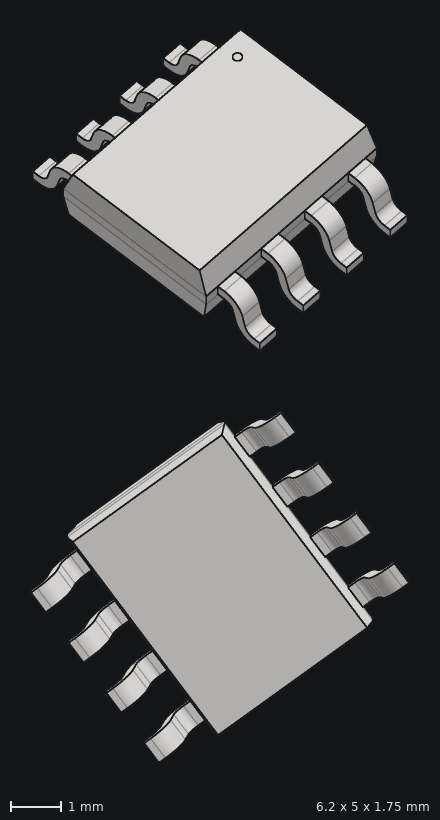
import cadquery as cq
import math

SPAN = 6.2
BODY_LENGTH = 5.0
TOTAL_HEIGHT = 1.75

BODY_WIDTH = 3.905
TOP_INSET_X = 0.225
BOTTOM_INSET_X = 0.105
END_INSET_Y = 0.05

LEADS_PER_SIDE = 4
LEAD_PITCH = 1.27
LEAD_WIDTH = 0.5
LEAD_THICKNESS = 0.265
LEAD_TOP_Z = 1.12
FOOT_FLAT = 0.16
INNER_BEND_RADIUS = 0.25
BEND_ANGLE = math.radians(75)

MARK_DIAMETER = 0.2
MARK_DEPTH = 0.03
MARK_X = -1.3
FIRST_LEAD_Y = (LEADS_PER_SIDE - 1) / 2 * LEAD_PITCH

BAND_BOTTOM_Z = LEAD_TOP_Z - LEAD_THICKNESS
BODY_BOTTOM_Z = LEAD_THICKNESS

OUTER_BEND_RADIUS = INNER_BEND_RADIUS + LEAD_THICKNESS


def tapered_half(band_z, face_z, inset_x):
    """Frustum from the full band outline at band_z to a smaller face at face_z."""
    return (
        cq.Workplane("XY", origin=(0, 0, band_z))
        .rect(BODY_WIDTH, BODY_LENGTH)
        .workplane(offset=face_z - band_z)
        .rect(BODY_WIDTH - 2 * inset_x, BODY_LENGTH - 2 * END_INSET_Y)
        .loft(ruled=True)
    )


def make_pin_mark():
    """Thin disc that fills the recess in the top face of the housing."""
    return (
        cq.Workplane("XY", origin=(MARK_X, FIRST_LEAD_Y, TOTAL_HEIGHT - MARK_DEPTH))
        .circle(MARK_DIAMETER / 2)
        .extrude(MARK_DEPTH)
    )


def make_housing():
    """Band with a tapered half above and below, recessed for the pin 1 mark."""
    band = (
        cq.Workplane("XY", origin=(0, 0, BAND_BOTTOM_Z))
        .rect(BODY_WIDTH, BODY_LENGTH)
        .extrude(LEAD_THICKNESS)
    )
    upper_half = tapered_half(LEAD_TOP_Z, TOTAL_HEIGHT, TOP_INSET_X)
    lower_half = tapered_half(BAND_BOTTOM_Z, BODY_BOTTOM_Z, BOTTOM_INSET_X)
    return band.union(upper_half).union(lower_half).cut(make_pin_mark())


def make_lead():
    """Lead on the +X side at Y = 0, butting against the housing band."""
    tip_x = SPAN / 2
    root_x = BODY_WIDTH / 2

    lower_x = tip_x - FOOT_FLAT
    lower_z = LEAD_THICKNESS + INNER_BEND_RADIUS

    upper_z = BAND_BOTTOM_Z - INNER_BEND_RADIUS
    radius_sum = INNER_BEND_RADIUS + OUTER_BEND_RADIUS
    leg_rise = upper_z - lower_z + radius_sum * math.cos(BEND_ANGLE)
    upper_x = lower_x - radius_sum * math.sin(BEND_ANGLE) - leg_rise / math.tan(BEND_ANGLE)

    def upper_point(radius, angle):
        return (upper_x + radius * math.sin(angle), upper_z + radius * math.cos(angle))

    def lower_point(radius, angle):
        return (lower_x - radius * math.sin(angle), lower_z - radius * math.cos(angle))

    half_angle = BEND_ANGLE / 2
    profile = (
        cq.Workplane("XZ")
        .moveTo(root_x, LEAD_TOP_Z)
        .lineTo(*upper_point(OUTER_BEND_RADIUS, 0))
        .threePointArc(upper_point(OUTER_BEND_RADIUS, half_angle), upper_point(OUTER_BEND_RADIUS, BEND_ANGLE))
        .lineTo(*lower_point(INNER_BEND_RADIUS, BEND_ANGLE))
        .threePointArc(lower_point(INNER_BEND_RADIUS, half_angle), lower_point(INNER_BEND_RADIUS, 0))
        .lineTo(tip_x, LEAD_THICKNESS)
        .lineTo(tip_x, 0)
        .lineTo(*lower_point(OUTER_BEND_RADIUS, 0))
        .threePointArc(lower_point(OUTER_BEND_RADIUS, half_angle), lower_point(OUTER_BEND_RADIUS, BEND_ANGLE))
        .lineTo(*upper_point(INNER_BEND_RADIUS, BEND_ANGLE))
        .threePointArc(upper_point(INNER_BEND_RADIUS, half_angle), upper_point(INNER_BEND_RADIUS, 0))
        .lineTo(root_x, BAND_BOTTOM_Z)
        .close()
    )
    return profile.extrude(LEAD_WIDTH / 2, both=True)


housing = make_housing()
pin_mark = make_pin_mark()

right_lead = make_lead()
left_lead = right_lead.mirror("YZ")
leads = []
for index in range(LEADS_PER_SIDE):
    lead_y = FIRST_LEAD_Y - index * LEAD_PITCH
    for side_lead in (left_lead, right_lead):
        leads.append(side_lead.translate((0, lead_y, 0)).solids().val())

result = cq.Compound.makeCompound([housing.solids().val(), pin_mark.val(), *leads])